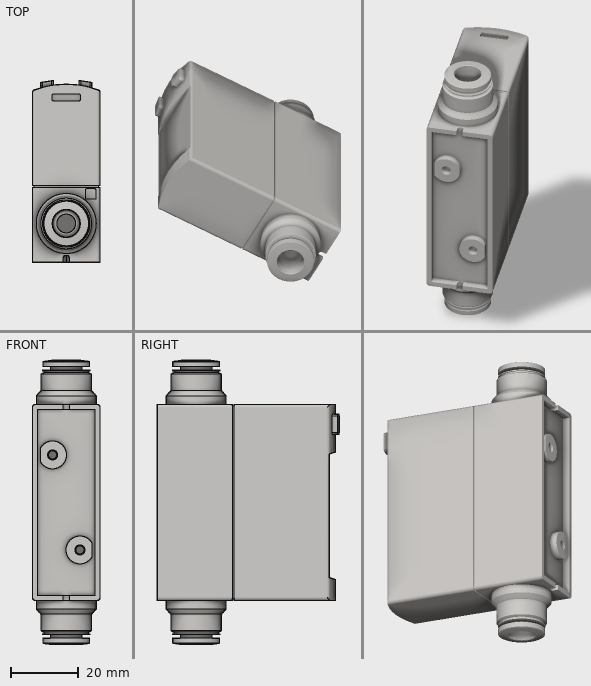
import cadquery as cq
overall_length = 83.8

width = 20.0
height = 57.85
front_y = -11.5
back_edge_y = 39.5
crown_rise = 1.6
crown_width = 18.0
edge_radius = 1.0

groove_y = 10.65
groove_width = 0.5
groove_depth = 0.5

pocket_wall = 1.5
pocket_depth = 2.1
notch_width = 1.85

boss_diameter = 8.2
boss_x = 4.0
boss_z = 14.0
boss_flat_offset = 3.5
screw_hole_diameter = 2.4
screw_hole_chamfer = 0.25
screw_hole_depth = 5.0

cut_floor_y = 39.2
cut_top_z = 14.25
cut_bottom_z = -22.1
cut_end_flare = 0.6

hook_inner_x = 3.7
hook_outer_x = 7.55
hook_inner_y = 42.2
hook_outer_y = 41.6
hook_root_y = 38.7
hook_bottom_z = 20.0
hook_top_z = 26.0
hook_chamfer = 0.6

slot_length = 8.4
slot_width = 2.0
slot_depth = 1.0
slot_corner = 0.4
slot_y = 37.1

label_size = 3.1
label_x = 7.2
label_y = 8.7
label_depth = 0.2
label_corner = 0.4

flange_diameter = 17.7
flange_length = 2.5
cap_diameter = 14.9
cap_start = 4.0
cap_shoulder = 8.9
cap_groove_diameter = 13.2
cap_groove_start = 9.3
cap_rim_diameter = 14.0
cap_rim_start = 9.8
cap_end = 10.1
neck_diameter = 9.4
collar_diameter = 13.8
collar_start = 11.1
collar_top_diameter = 13.2
collar_top_drop = 0.3
collar_chamfer = 0.2
bore_diameter = 8.0
bore_chamfer = 0.2
bore_depth = 7.55
passage_diameter = 5.5

half_width = width / 2
half_height = height / 2
back_y = back_edge_y + crown_rise
pocket_floor_y = front_y + pocket_depth
fitting_length = overall_length / 2 - half_height


def box(x_range, y_range, z_range):
    """Axis-aligned box between two limits on each axis."""
    limits = (x_range, y_range, z_range)
    sizes = [high - low for low, high in limits]
    corner = [low for low, high in limits]
    return cq.Workplane("XY").box(*sizes, centered=False).translate(tuple(corner))


def make_block():
    """Crowned profile along Z, trimmed by a rounded rectangle along Y."""
    half_crown = crown_width / 2
    side_end_y = back_edge_y - edge_radius
    plan = (
        cq.Workplane("XY", origin=(0, 0, -half_height))
        .moveTo(-half_width, front_y)
        .lineTo(half_width, front_y)
        .lineTo(half_width, side_end_y)
        .radiusArc((half_crown, back_edge_y), -edge_radius)
        .threePointArc((0, back_y), (-half_crown, back_edge_y))
        .radiusArc((-half_width, side_end_y), -edge_radius)
        .close()
        .extrude(height)
    )
    envelope = (
        box((-half_width, half_width), (front_y, back_y), (-half_height, half_height))
        .edges("|Y")
        .fillet(edge_radius)
    )
    return plan.intersect(envelope)


def make_groove():
    """Ring that removes a shallow band all around the block."""
    band_y = (groove_y, groove_y + groove_width)
    core_x = half_width - groove_depth
    core_z = half_height - groove_depth
    ring = box((-half_width, half_width), band_y, (-half_height, half_height))
    return ring.cut(box((-core_x, core_x), band_y, (-core_z, core_z)))


def make_front_pocket():
    """Rectangular pocket plus a round-ended notch through both end walls."""
    pocket_x = half_width - pocket_wall
    pocket_z = half_height - pocket_wall
    pocket = box((-pocket_x, pocket_x), (front_y, pocket_floor_y), (-pocket_z, pocket_z))
    notch_radius = notch_width / 2
    round_y = pocket_floor_y - notch_radius
    notch = (
        cq.Workplane("XY", origin=(0, 0, -half_height))
        .moveTo(-notch_radius, front_y)
        .lineTo(notch_radius, front_y)
        .lineTo(notch_radius, round_y)
        .threePointArc((0, pocket_floor_y), (-notch_radius, round_y))
        .close()
        .extrude(height)
    )
    return pocket.union(notch)


def make_boss(side):
    """Round boss on the pocket floor, flattened beside the pocket wall."""
    boss_radius = boss_diameter / 2
    center = (side * boss_x, front_y, -side * boss_z)
    face = cq.Workplane("XZ", origin=center)
    boss = face.circle(boss_radius).extrude(-pocket_depth)
    flat_start = side * (boss_x + boss_flat_offset)
    flat_end = side * half_width
    beyond_flat = box(
        sorted((flat_start, flat_end)),
        (front_y, pocket_floor_y),
        (center[2] - boss_radius, center[2] + boss_radius),
    )
    return boss.cut(beyond_flat)


def make_screw_hole(side):
    """Blind hole with a chamfered mouth, revolved about the boss axis."""
    radius = screw_hole_diameter / 2
    mouth_radius = radius + screw_hole_chamfer
    return (
        cq.Workplane("XY")
        .polyline([
            (0, 0),
            (mouth_radius, 0),
            (radius, screw_hole_chamfer),
            (radius, screw_hole_depth),
            (0, screw_hole_depth),
        ])
        .close()
        .revolve(360, (0, 0, 0), (0, 1, 0))
        .translate((side * boss_x, front_y, -side * boss_z))
    )


def make_back_cut():
    """Wide trapezoidal cut that flattens the middle of the crown."""
    return (
        cq.Workplane("YZ", origin=(-half_width, 0, 0))
        .polyline([
            (cut_floor_y, cut_bottom_z),
            (cut_floor_y, cut_top_z),
            (back_y, cut_top_z + cut_end_flare),
            (back_y, cut_bottom_z - cut_end_flare),
        ])
        .close()
        .extrude(width)
    )


def make_hook(side):
    """Sloped block rising from the crown, with its end edges chamfered."""
    hook = (
        cq.Workplane("XY", origin=(0, 0, hook_bottom_z))
        .polyline([
            (hook_inner_x, hook_root_y),
            (hook_inner_x, hook_inner_y),
            (hook_outer_x, hook_outer_y),
            (hook_outer_x, hook_root_y),
        ])
        .close()
        .extrude(hook_top_z - hook_bottom_z)
        .edges("|Y")
        .chamfer(hook_chamfer)
    )
    return hook if side > 0 else hook.mirror("YZ")


def make_top_slot():
    return (
        cq.Workplane("XY", origin=(0, slot_y, half_height - slot_depth))
        .rect(slot_length, slot_width)
        .extrude(slot_depth)
        .edges("|Z")
        .fillet(slot_corner)
    )


def make_label_recess():
    return (
        cq.Workplane("XY", origin=(label_x, label_y, half_height - label_depth))
        .rect(label_size, label_size)
        .extrude(label_depth)
        .edges("|Z and >Y")
        .fillet(label_corner)
    )


def make_housing():
    housing = make_block().cut(make_groove()).cut(make_front_pocket()).cut(make_back_cut())
    for side in (-1, 1):
        housing = housing.union(make_boss(side)).cut(make_screw_hole(side))
        housing = housing.union(make_hook(side))
    return housing.cut(make_top_slot()).cut(make_label_recess())


def make_fitting(end):
    """Turned push-in fitting on the top (end = 1) or bottom (end = -1) face."""
    flange_radius = flange_diameter / 2
    cap_radius = cap_diameter / 2
    cap_groove_radius = cap_groove_diameter / 2
    cap_rim_radius = cap_rim_diameter / 2
    neck_radius = neck_diameter / 2
    collar_radius = collar_diameter / 2
    collar_top_radius = collar_top_diameter / 2
    collar_edge = fitting_length - collar_top_drop
    bore_radius = bore_diameter / 2
    passage_radius = passage_diameter / 2
    bore_floor = fitting_length - bore_depth
    fitting = (
        cq.Workplane("XZ")
        .polyline([
            (passage_radius, 0),
            (flange_radius, 0),
            (flange_radius, flange_length),
            (cap_radius, cap_start),
            (cap_radius, cap_shoulder),
            (cap_groove_radius, cap_groove_start),
            (cap_groove_radius, cap_rim_start),
            (cap_rim_radius, cap_rim_start),
            (cap_rim_radius, cap_end),
            (neck_radius, cap_end),
            (neck_radius, collar_start),
            (collar_radius, collar_start),
            (collar_radius, collar_edge - collar_chamfer),
            (collar_top_radius, collar_edge),
            (bore_radius + bore_chamfer, fitting_length),
            (bore_radius, fitting_length - bore_chamfer),
            (bore_radius, bore_floor),
            (passage_radius, bore_floor),
        ])
        .close()
        .revolve(360, (0, 0, 0), (0, 1, 0))
        .translate((0, 0, half_height))
    )
    return fitting if end > 0 else fitting.mirror("XY")


housing = make_housing()
fittings = [make_fitting(end) for end in (1, -1)]
result = cq.Compound.makeCompound([housing.val(), *[fitting.val() for fitting in fittings]])